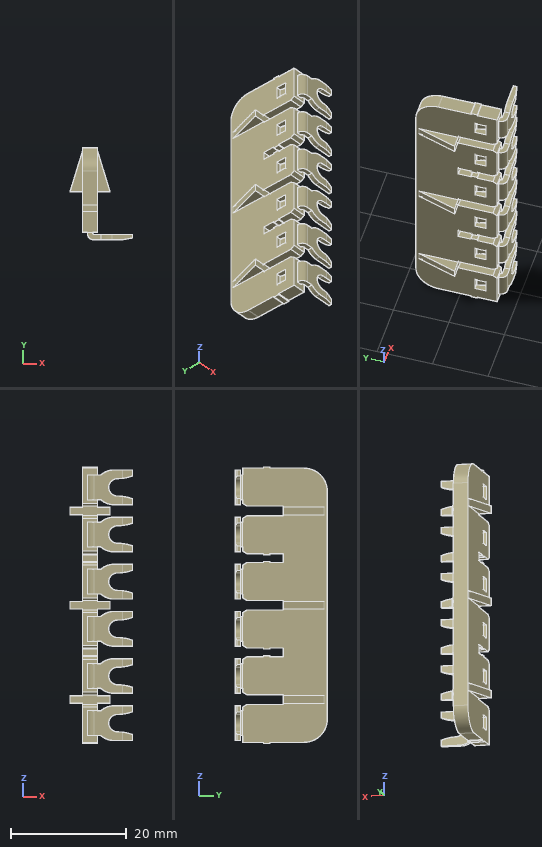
import cadquery as cq
import math


total_height = 47.85

plate_thickness = 2.65
plate_depth = 14.7
bump_height = 0.2
plate_height = total_height - 2 * bump_height
corner_radius = 4.05

finger_count = 6
end_margin = 3.35
pitch = (plate_height - 2 * end_margin) / (finger_count - 1)
gap_bottom = 7.65
rib_gap_width = 1.65
plain_gap_width = 1.5
tip_chamfer_depth = 0.75
tip_chamfer_height = 0.5

bump_start = 9.95
bump_length = 1.15

rib_start = 0.57
rib_half_width = 3.5
rib_height = 1.35

window_start = 10.65
window_length = 1.95
window_height = 2.3
window_depth = 1.1
tongue_clearance = 0.15
tongue_rise = 0.4

metal_thickness = 0.95
inner_bend_radius = 0.2
terminal_front = 16.0
tail_left = -0.5
tail_overlap = 0.5
neck_half = 2.15
neck_end = 1.85
fork_half = 3.0
shoulder_end = 3.85
shoulder_bulge = 0.2
fork_slot_bottom = 3.25
fork_slot_half = 1.5
tip_start = 5.6
tip_end = 7.35
tip_slot_half = 1.95
tip_thinning = 0.35

plate_left = -plate_thickness / 2
terminal_back = terminal_front - metal_thickness
window_floor = plate_left + window_depth
finger_levels = [(i - (finger_count - 1) / 2) * pitch for i in range(finger_count)]
gap_levels = [(low + high) / 2 for low, high in zip(finger_levels, finger_levels[1:])]
rib_levels = gap_levels[0::2]
plain_levels = gap_levels[1::2]


def block(x_start, x_length, y_start, y_length, z_middle, height):
    """Box given by its low X, its distance from the back edge and its mid height."""
    return (
        cq.Workplane("XY")
        .box(x_length, y_length, height, centered=(False, False, True))
        .translate((x_start, -y_start - y_length, z_middle))
    )


def plate_block(y_start, y_length, z_middle, height):
    """Box as thick as the plate."""
    return block(plate_left, plate_thickness, y_start, y_length, z_middle, height)


def finger_gap(level, width):
    """Cutter for one gap, flared at its mouth by the finger tip chamfers."""
    half = width / 2
    flare = half + tip_chamfer_height
    chamfer_start = plate_depth - tip_chamfer_depth
    outline = [
        (-gap_bottom, half),
        (-chamfer_start, half),
        (-plate_depth, flare),
        (-plate_depth, -flare),
        (-chamfer_start, -half),
        (-gap_bottom, -half),
    ]
    cutter = cq.Workplane("YZ").polyline(outline).close().extrude(plate_thickness / 2, both=True)
    return cutter.translate((0, 0, level))


def bump_pair(level, spacing):
    """Two facing bumps whose outer sides lie `spacing` apart."""
    offset = (spacing - bump_height) / 2
    lower = plate_block(bump_start, bump_length, level - offset, bump_height)
    upper = plate_block(bump_start, bump_length, level + offset, bump_height)
    return lower.union(upper)


def rib(level):
    """Triangular rib standing out on both sides of the plate."""
    half_plate = plate_thickness / 2
    outline = [
        (-half_plate, -rib_start),
        (half_plate, -rib_start),
        (rib_half_width, -gap_bottom),
        (-rib_half_width, -gap_bottom),
    ]
    body = cq.Workplane("XY").polyline(outline).close().extrude(rib_height / 2, both=True)
    return body.translate((0, 0, level))


def tongue(level):
    """Lanced tongue on the window floor, rising toward the back of the plate."""
    free_end = -window_start - tongue_clearance
    hinge = -window_start - window_length
    outline = [(window_floor, hinge), (window_floor, free_end), (window_floor - tongue_rise, free_end)]
    half_height = window_height / 2 - tongue_clearance
    body = cq.Workplane("XY").polyline(outline).close().extrude(half_height, both=True)
    return body.translate((0, 0, level))


def tangent_arc_middle(run, rise):
    """Middle point of an arc that leaves along its run and ends at (run, rise)."""
    radius = (run**2 + rise**2) / (2 * rise)
    half_angle = math.atan2(rise, run)
    return radius * math.sin(half_angle), radius * (1 - math.cos(half_angle))


def bent_strip():
    """Terminal profile across Z: tail, rounded bend and a flat blade with thinned tips."""
    tail_right = tail_left + metal_thickness
    bend_end = tail_right + inner_bend_radius
    bend_start = -terminal_back + inner_bend_radius
    outer_middle = (metal_thickness + inner_bend_radius) * math.sqrt(0.5)
    inner_middle = inner_bend_radius * math.sqrt(0.5)
    return (
        cq.Workplane("XY")
        .moveTo(tail_left, -plate_depth + tail_overlap)
        .lineTo(tail_left, bend_start)
        .threePointArc(
            (bend_end - outer_middle, bend_start - outer_middle),
            (bend_end, -terminal_front),
        )
        .lineTo(tip_start, -terminal_front)
        .lineTo(tip_end, -terminal_front + tip_thinning)
        .lineTo(tip_end, -terminal_back)
        .lineTo(bend_end, -terminal_back)
        .threePointArc(
            (bend_end - inner_middle, bend_start - inner_middle),
            (tail_right, bend_start),
        )
        .lineTo(tail_right, -plate_depth + tail_overlap)
        .close()
        .extrude(fork_half, both=True)
    )


def fork_face():
    """Terminal profile across Y: neck, shoulders and an open slot with flared mouth."""
    slot_centre = fork_slot_bottom + fork_slot_half
    shoulder_x = (neck_end + shoulder_end) / 2
    shoulder_z = (neck_half + fork_half) / 2 + shoulder_bulge
    arc_x, arc_z = tangent_arc_middle(tip_end - slot_centre, tip_slot_half - fork_slot_half)
    return (
        cq.Workplane("XZ")
        .moveTo(tail_left, neck_half)
        .lineTo(neck_end, neck_half)
        .threePointArc((shoulder_x, shoulder_z), (shoulder_end, fork_half))
        .lineTo(tip_end, fork_half)
        .lineTo(tip_end, tip_slot_half)
        .threePointArc((slot_centre + arc_x, fork_slot_half + arc_z), (slot_centre, fork_slot_half))
        .threePointArc((fork_slot_bottom, 0), (slot_centre, -fork_slot_half))
        .threePointArc((slot_centre + arc_x, -fork_slot_half - arc_z), (tip_end, -tip_slot_half))
        .lineTo(tip_end, -fork_half)
        .lineTo(shoulder_end, -fork_half)
        .threePointArc((shoulder_x, -shoulder_z), (neck_end, -neck_half))
        .lineTo(tail_left, -neck_half)
        .close()
        .extrude(terminal_front)
    )


result = plate_block(0, plate_depth, 0, plate_height).edges("|X and >Y").fillet(corner_radius)

for level in rib_levels:
    result = result.cut(finger_gap(level, rib_gap_width)).union(rib(level))
for level in plain_levels:
    result = result.cut(finger_gap(level, plain_gap_width)).union(bump_pair(level, plain_gap_width))

result = result.union(bump_pair(0, total_height))

terminal = bent_strip().intersect(fork_face())
for level in finger_levels:
    window = block(plate_left, window_depth, window_start, window_length, level, window_height)
    result = result.cut(window).union(tongue(level)).union(terminal.translate((0, 0, level)))